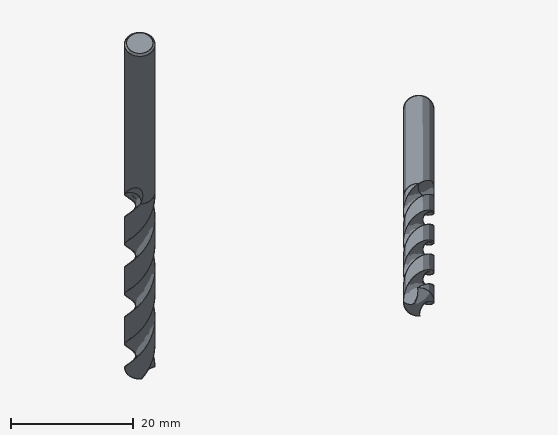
import cadquery as cq
import math

overall_length = 86.0
diameter = 5.0
drill_length = 47.0
point_angle = 126.0
helix_pitch = 26.15
flute_radius = 1.8
flute_offset = 2.5
flute_angles = (94.0, 274.0)
runout_height = 3.5
runout_sideways = 1.8
chamfer_size = 0.35

radius = diameter / 2
point_height = radius / math.tan(math.radians(point_angle / 2))
shank_length = overall_length - drill_length
total_twist = 360.0 * drill_length / helix_pitch
groove_depth_radius = flute_offset - flute_radius
exit_radius = math.sqrt(radius**2 - runout_sideways**2)
runout_outward = exit_radius - groove_depth_radius
runout_scale = 2


def flute_centre(angle):
    """Groove centre in the cross-section for a given direction."""
    a = math.radians(angle)
    return flute_offset * math.cos(a), flute_offset * math.sin(a)


def make_drill():
    """Twisted two-flute body ending in a conical point."""
    body = cq.Workplane("XY").circle(radius).extrude(drill_length)
    start_angle = -total_twist
    for angle in flute_angles:
        groove = (
            cq.Workplane("XY")
            .pushPoints([flute_centre(angle + start_angle)])
            .circle(flute_radius)
            .twistExtrude(drill_length, total_twist)
        )
        body = body.cut(groove)

    point_envelope = (
        cq.Workplane("XZ")
        .moveTo(0, 0)
        .lineTo(radius, point_height)
        .lineTo(diameter, point_height)
        .lineTo(diameter, drill_length)
        .lineTo(0, drill_length)
        .close()
        .revolve(360, (0, 0, 0), (0, 1, 0))
    )
    return body.intersect(point_envelope)


def flute_runout(angle):
    """Straight groove that carries a flute on up and outward until it leaves the shank."""
    a = math.radians(angle)
    x, y = flute_centre(angle)
    sideways = cq.Vector(-math.sin(a), math.cos(a), 0) * runout_sideways
    outward = cq.Vector(math.cos(a), math.sin(a), 0) * runout_outward
    travel = (sideways + outward + cq.Vector(0, 0, runout_height)) * runout_scale
    groove_section = cq.Wire.makeCircle(flute_radius, cq.Vector(x, y, drill_length), cq.Vector(0, 0, 1))
    return cq.Solid.extrudeLinear(groove_section, [], travel)


def make_shank():
    """Plain round shank with a chamfered end and the two flute runouts."""
    shank = (
        cq.Workplane("XY", origin=(0, 0, drill_length))
        .circle(radius)
        .extrude(shank_length)
        .faces(">Z")
        .chamfer(chamfer_size)
    )
    for angle in flute_angles:
        shank = shank.cut(cq.Workplane(flute_runout(angle)))
    return shank


drill = make_drill()
shank = make_shank()

result = cq.Compound.makeCompound([drill.val(), shank.val()])